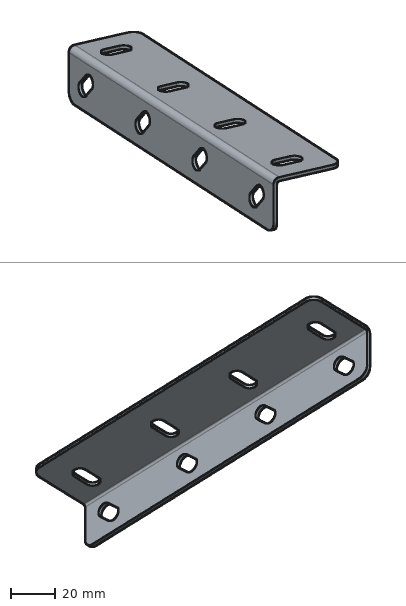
import cadquery as cq

length = 180.0
depth = 36.0
height = 27.0

thickness = 2.0
outer_bend_radius = 3.0
inner_bend_radius = outer_bend_radius - thickness
corner_radius = 5.0

slot_count = 4
slot_end_margin = 15.0
slot_pitch = (length - 2 * slot_end_margin) / (slot_count - 1)
slot_width = 7.0
slot_length = 15.0
top_slot_setback = 16.0
front_slot_drop = 14.0
front_slot_angle = 45.0


def bent_sheet():
    """L-shaped section with its outer bend edge along X, rounded inside and out."""
    bracket = cq.Workplane("XY").box(length, depth, height, centered=False)
    bracket = bracket.edges("|X and <Y and >Z").fillet(outer_bend_radius)
    hollow = (
        cq.Workplane("XY")
        .box(length, depth - thickness, height - thickness, centered=False)
        .translate((0, thickness, 0))
        .edges("|X and <Y and >Z")
        .fillet(inner_bend_radius)
    )
    return bracket.cut(hollow)


def round_free_corners(bracket):
    """Round the outer corners of both flanges."""
    bracket = bracket.edges("|Z and >Y").fillet(corner_radius)
    return bracket.edges("|Y and <Z").fillet(corner_radius)


def slot_row(plane, offset, angle):
    """Row of slot cutters running through the sheet whose outer face lies on plane."""
    centers = [(slot_end_margin + i * slot_pitch, offset) for i in range(slot_count)]
    return (
        cq.Workplane(plane)
        .pushPoints(centers)
        .slot2D(slot_length, slot_width, angle)
        .extrude(-thickness)
    )


top_plane = cq.Plane(origin=(0, 0, height), xDir=(1, 0, 0), normal=(0, 0, 1))
front_plane = cq.Plane(origin=(0, 0, height), xDir=(1, 0, 0), normal=(0, -1, 0))

result = round_free_corners(bent_sheet())
result = result.cut(slot_row(top_plane, top_slot_setback, 90.0))
result = result.cut(slot_row(front_plane, -front_slot_drop, front_slot_angle))